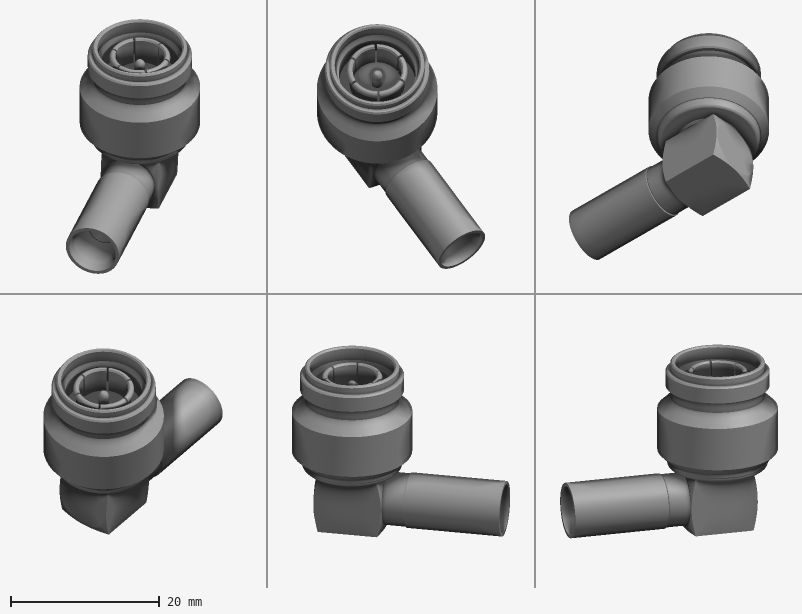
import cadquery as cq
import math


TOP_Z = 19.3
RING_TOP_Z = 18.15
RING_BOTTOM_Z = 15.7
NECK_BOTTOM_Z = 14.3
SHOULDER_Z = 12.65
BARREL_BOTTOM_Z = 6.7
LIP_TOP_Z = 5.65
LIP_BOTTOM_Z = 4.4
NECK_R = 6.35
RING_R = 7.0
BARREL_R = 8.1
LIP_TOP_R = 6.95
LIP_EDGE_R = 6.85
LIP_EDGE_Z = 5.1
LIP_ROUND_START_R = 6.77
LIP_ROUND_START_Z = 4.92
LIP_ROUND = 0.6
LIP_BOTTOM_R = 6.4
EDGE_CHAMFER = 0.2
RIM_INNER_CHAMFER = 0.2

SOCKET_R = 5.7
SOCKET_FLOOR_R = 5.15
SOCKET_CONE_TOP_Z = 17.4
SOCKET_FLOOR_Z = 14.2

CONTACT_TOP_Z = 18.0
CONTACT_INNER_R = 3.3
CONTACT_OUTER_R = 3.7
CONTACT_BEAD_R = 4.1
CONTACT_BEAD_HEIGHT = 1.0
CONTACT_MOUTH_CHAMFER = 0.2
SLOT_WIDTH = 0.3
SLOT_COUNT = 6
PIN_R = 0.7
PIN_TIP_R = 0.3
PIN_TIP_Z = 17.0
PIN_TIP_LENGTH = 0.6
PIN_TIP_ROUND = 0.8

BLOCK_HALF = 4.0
BLOCK_FRONT_Y = -4.8
BLOCK_BACK_Y = 4.5
BLOCK_FACE_R = 3.9
BLOCK_CONE_ANGLE = 19.0
ENVELOPE_MARGIN = 1.0
FLANGE_R = 4.4
FLANGE_CHAMFER = 0.22

OUTLET_NECK_R = 3.6
OUTLET_NECK_END = 7.85
OUTLET_NECK_CHAMFER = 0.15
SLEEVE_R = 3.75
SLEEVE_BORE_R = 3.28
SLEEVE_START = OUTLET_NECK_END
SLEEVE_END = 20.9
FERRULE_R = 2.72
FERRULE_TAPER_R = 2.58
FERRULE_TIP_R = 2.15
FERRULE_BORE_R = 2.05
FERRULE_END = 16.0
FERRULE_TAPER = 1.0


def cable_cylinder(radius, start, end):
    """Cylinder along the cable axis between two distances from the coupling axis."""
    plane = cq.Workplane("XZ", origin=(0, -start, 0))
    return plane.circle(radius).extrude(end - start)


def turned(profile):
    """Revolve a closed (radius, z) profile about the coupling axis."""
    return profile.close().revolve(360, (0, 0, 0), (0, 1, 0))


def make_coupling_body():
    barrel_foot_r = BARREL_R - (BARREL_BOTTOM_Z - LIP_TOP_Z)
    profile = (
        cq.Workplane("XZ")
        .moveTo(0, LIP_BOTTOM_Z)
        .lineTo(LIP_BOTTOM_R, LIP_BOTTOM_Z)
        .radiusArc((LIP_ROUND_START_R, LIP_ROUND_START_Z), -LIP_ROUND)
        .lineTo(LIP_EDGE_R, LIP_EDGE_Z)
        .lineTo(LIP_TOP_R, LIP_TOP_Z)
        .lineTo(barrel_foot_r, LIP_TOP_Z)
        .lineTo(BARREL_R, BARREL_BOTTOM_Z)
        .lineTo(BARREL_R, SHOULDER_Z)
        .lineTo(NECK_R, NECK_BOTTOM_Z)
        .lineTo(NECK_R, RING_BOTTOM_Z)
        .lineTo(RING_R - EDGE_CHAMFER, RING_BOTTOM_Z)
        .lineTo(RING_R, RING_BOTTOM_Z + EDGE_CHAMFER)
        .lineTo(RING_R, RING_TOP_Z - EDGE_CHAMFER)
        .lineTo(RING_R - EDGE_CHAMFER, RING_TOP_Z)
        .lineTo(NECK_R, RING_TOP_Z)
        .lineTo(NECK_R, TOP_Z - EDGE_CHAMFER)
        .lineTo(NECK_R - EDGE_CHAMFER, TOP_Z)
        .lineTo(0, TOP_Z)
    )
    return turned(profile)


def make_socket():
    cone_bottom_z = SOCKET_CONE_TOP_Z - (SOCKET_R - SOCKET_FLOOR_R)
    profile = (
        cq.Workplane("XZ")
        .moveTo(0, SOCKET_FLOOR_Z)
        .lineTo(SOCKET_FLOOR_R, SOCKET_FLOOR_Z)
        .lineTo(SOCKET_FLOOR_R, cone_bottom_z)
        .lineTo(SOCKET_R, SOCKET_CONE_TOP_Z)
        .lineTo(SOCKET_R, TOP_Z - RIM_INNER_CHAMFER)
        .lineTo(SOCKET_R + RIM_INNER_CHAMFER, TOP_Z)
        .lineTo(0, TOP_Z)
    )
    return turned(profile)


def make_spring_contact():
    bead_bottom_z = CONTACT_TOP_Z - CONTACT_BEAD_HEIGHT
    bead_middle = (CONTACT_BEAD_R, CONTACT_TOP_Z - CONTACT_BEAD_HEIGHT / 2)
    profile = (
        cq.Workplane("XZ")
        .moveTo(CONTACT_INNER_R, SOCKET_FLOOR_Z)
        .lineTo(CONTACT_OUTER_R, SOCKET_FLOOR_Z)
        .lineTo(CONTACT_OUTER_R, bead_bottom_z)
        .threePointArc(bead_middle, (CONTACT_OUTER_R, CONTACT_TOP_Z))
        .lineTo(CONTACT_INNER_R + CONTACT_MOUTH_CHAMFER, CONTACT_TOP_Z)
        .lineTo(CONTACT_INNER_R, CONTACT_TOP_Z - CONTACT_MOUTH_CHAMFER)
    )
    contact = turned(profile)
    slot_length = 2 * SOCKET_FLOOR_R
    slot_height = CONTACT_TOP_Z - SOCKET_FLOOR_Z
    slot = (
        cq.Workplane("XY", origin=(0, 0, SOCKET_FLOOR_Z))
        .rect(slot_length, SLOT_WIDTH)
        .extrude(slot_height)
    )
    for index in range(SLOT_COUNT // 2):
        angle = index * 360 / SLOT_COUNT
        contact = contact.cut(slot.rotate((0, 0, 0), (0, 0, 1), angle))
    return contact


def make_pin():
    profile = (
        cq.Workplane("XZ")
        .moveTo(0, SOCKET_FLOOR_Z)
        .lineTo(PIN_R, SOCKET_FLOOR_Z)
        .lineTo(PIN_R, PIN_TIP_Z - PIN_TIP_LENGTH)
        .radiusArc((PIN_TIP_R, PIN_TIP_Z), -PIN_TIP_ROUND)
        .lineTo(0, PIN_TIP_Z)
    )
    return turned(profile)


def make_block():
    side = 2 * BLOCK_HALF
    block = (
        cq.Workplane("XZ", origin=(0, BLOCK_BACK_Y, 0))
        .rect(side, side)
        .extrude(BLOCK_BACK_Y - BLOCK_FRONT_Y)
    )
    corner_r = BLOCK_HALF * math.sqrt(2)
    envelope_r = corner_r + ENVELOPE_MARGIN
    cone_depth = (envelope_r - BLOCK_FACE_R) * math.tan(math.radians(BLOCK_CONE_ANGLE))
    envelope = (
        cq.Workplane("XY")
        .moveTo(0, BLOCK_FRONT_Y)
        .lineTo(BLOCK_FACE_R, BLOCK_FRONT_Y)
        .lineTo(envelope_r, BLOCK_FRONT_Y + cone_depth)
        .lineTo(envelope_r, BLOCK_BACK_Y - cone_depth)
        .lineTo(BLOCK_FACE_R, BLOCK_BACK_Y)
        .lineTo(0, BLOCK_BACK_Y)
        .close()
        .revolve(360, (0, 0, 0), (0, 1, 0))
    )
    flange = (
        cq.Workplane("XY", origin=(0, 0, BLOCK_HALF))
        .circle(FLANGE_R)
        .extrude(LIP_BOTTOM_Z - BLOCK_HALF)
        .faces("<Z")
        .chamfer(FLANGE_CHAMFER)
    )
    return block.intersect(envelope).union(flange)


def make_ferrule():
    shoulder_y = -(FERRULE_END - FERRULE_TAPER)
    return (
        cq.Workplane("XY")
        .lineTo(FERRULE_R, 0)
        .lineTo(FERRULE_R, shoulder_y)
        .lineTo(FERRULE_TAPER_R, shoulder_y)
        .lineTo(FERRULE_TIP_R, -FERRULE_END)
        .lineTo(0, -FERRULE_END)
        .close()
        .revolve(360, (0, 0, 0), (0, 1, 0))
    )


def make_cable_outlet():
    neck = cable_cylinder(OUTLET_NECK_R, 0, OUTLET_NECK_END)
    neck = neck.faces("<Y").chamfer(OUTLET_NECK_CHAMFER)
    sleeve = cable_cylinder(SLEEVE_R, SLEEVE_START, SLEEVE_END)
    sleeve = sleeve.cut(cable_cylinder(SLEEVE_BORE_R, SLEEVE_START, SLEEVE_END))
    return neck.union(sleeve).union(make_ferrule())


def make_ferrule_bore():
    return cable_cylinder(FERRULE_BORE_R, -BLOCK_FRONT_Y, FERRULE_END)


coupling = make_coupling_body().cut(make_socket())
coupling = coupling.union(make_spring_contact()).union(make_pin())
elbow = make_block().union(make_cable_outlet()).cut(make_ferrule_bore())
result = coupling.union(elbow)